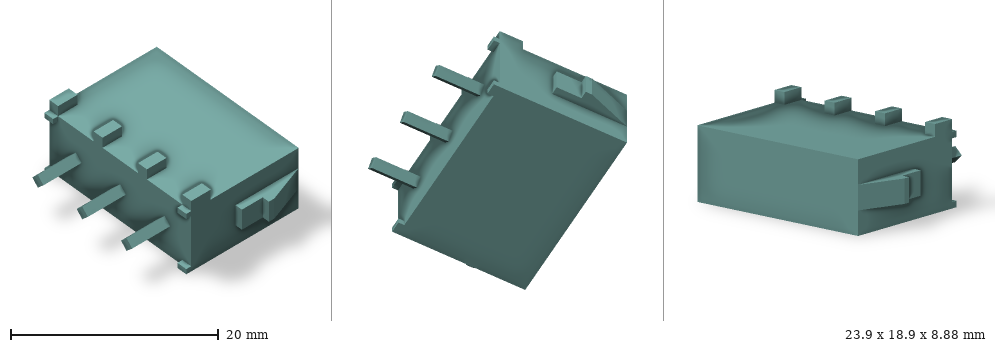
import cadquery as cq

overall_width = 23.88
overall_depth = 18.91
overall_height = 8.88

housing_width = 20.32
housing_depth = 13.97
housing_height = 7.62

pin_count = 3
pin_pitch = 6.35
pin_diagonal = 1.6
pin_length = overall_depth - housing_depth

rib_count = pin_count + 1
rib_width = 1.27
rib_depth = 2.53
rib_height = overall_height - housing_height
rib_pitch = (housing_width - rib_width) / (rib_count - 1)

foot_width = rib_width
foot_depth = 0.65
foot_height = 0.65

latch_height = 2.53
latch_reach = (overall_width - housing_width) / 2
arm_thickness = 0.9
ramp_length = 4.8
crest_length = 0.7
latch_length = 8.21

mid_height = housing_height / 2


def centred_positions(count, pitch):
    """Evenly spaced X positions, symmetric about X = 0."""
    return [(i - (count - 1) / 2) * pitch for i in range(count)]


def make_block(x_centre, y_min, z_min, width, depth, height):
    """Box centred in X at x_centre, rising from y_min and z_min."""
    block = cq.Workplane("XY").box(width, depth, height, centered=(True, False, False))
    return block.translate((x_centre, y_min, z_min))


def make_pin(x_centre):
    """Square pin standing on edge, running from the pin face toward -Y."""
    return (
        cq.Workplane("XZ")
        .center(x_centre, mid_height)
        .polygon(4, pin_diagonal)
        .extrude(pin_length)
    )


def make_latch(side):
    """Latch on the +X side (side = 1) or the -X side (side = -1)."""
    wall = side * housing_width / 2
    crest = wall + side * latch_reach
    arm = wall + side * arm_thickness
    ramp_end = housing_depth - ramp_length
    crest_end = ramp_end - crest_length
    arm_end = housing_depth - latch_length
    return (
        cq.Workplane("XY")
        .workplane(offset=mid_height - latch_height / 2)
        .moveTo(wall, housing_depth)
        .lineTo(crest, ramp_end)
        .lineTo(crest, crest_end)
        .lineTo(arm, crest_end)
        .lineTo(arm, arm_end)
        .lineTo(wall, arm_end)
        .close()
        .extrude(latch_height)
    )


result = make_block(0, 0, 0, housing_width, housing_depth, housing_height)

for rib_x in centred_positions(rib_count, rib_pitch):
    result = result.union(make_block(rib_x, 0, housing_height, rib_width, rib_depth, rib_height))

for foot_x in centred_positions(2, housing_width - foot_width):
    for foot_z in (0, housing_height - foot_height):
        foot = make_block(foot_x, -foot_depth, foot_z, foot_width, foot_depth, foot_height)
        result = result.union(foot)

for pin_x in centred_positions(pin_count, pin_pitch):
    result = result.union(make_pin(pin_x))

for latch_side in (-1, 1):
    result = result.union(make_latch(latch_side))